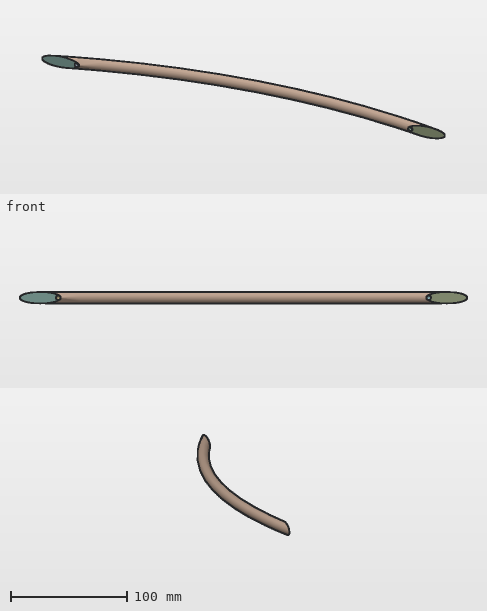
import cadquery as cq
import math

span = 385.0
rise = 30.5
bar_diameter = 10.0
hole_diameter = 4.0
hole_inset = 33.0
hole_depth = 4.5
drill_tip_angle = 118.0

outer_radius = ((span / 2) ** 2 + rise**2) / (2 * rise)
centerline_radius = outer_radius - bar_diameter / 2
arc_center_y = rise - outer_radius

sweep_half_angle = 1.2 * math.asin(span / 2 / outer_radius)


def centerline_point(angle):
    """Point on the bar's centreline at an angle from the crown."""
    return (
        centerline_radius * math.sin(angle),
        arc_center_y + centerline_radius * math.cos(angle),
    )


def bowed_bar():
    """Round bar bent to an arc, with its ends cut flush with the plane Y = 0."""
    start = centerline_point(-sweep_half_angle)
    path = (
        cq.Workplane("XY")
        .moveTo(*start)
        .threePointArc(centerline_point(0), centerline_point(sweep_half_angle))
    )
    start_plane = cq.Plane(
        origin=(start[0], start[1], 0),
        xDir=(0, 0, 1),
        normal=(math.cos(sweep_half_angle), math.sin(sweep_half_angle), 0),
    )
    bar = cq.Workplane(start_plane).circle(bar_diameter / 2).sweep(path)
    mounting_side = cq.Workplane("XY").box(
        2 * span, 2 * rise, 2 * bar_diameter, centered=(True, False, True)
    )
    return bar.intersect(mounting_side)


def mounting_hole(x):
    """Blind drilled hole along +Y with a conical bottom."""
    hole_radius = hole_diameter / 2
    tip_depth = hole_radius / math.tan(math.radians(drill_tip_angle / 2))
    half_profile = (
        cq.Workplane("XY")
        .polyline([
            (0, 0),
            (hole_radius, 0),
            (hole_radius, hole_depth),
            (0, hole_depth + tip_depth),
        ])
        .close()
    )
    return half_profile.revolve(360, (0, 0), (0, 1)).translate((x, 0, 0))


result = bowed_bar()

hole_x = span / 2 - hole_inset
for side in (-1, 1):
    result = result.cut(mounting_hole(side * hole_x))